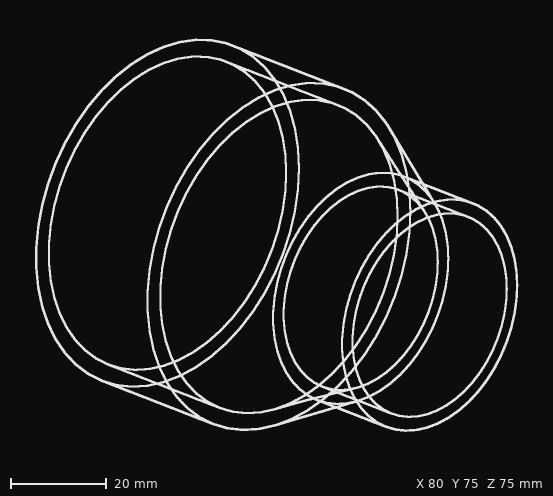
import cadquery as cq

total_length = 80.0
wide_length = 34.0
narrow_length = 21.0

wide_outer_diameter = 75.0
wide_bore_diameter = 67.8
narrow_outer_diameter = 50.0
narrow_bore_diameter = 44.0

cone_end = total_length - narrow_length


def reducer_body(wide_diameter, narrow_diameter):
    """Solid of revolution: wide cylinder, cone, narrow cylinder."""
    wide_radius = wide_diameter / 2
    narrow_radius = narrow_diameter / 2
    return (
        cq.Workplane("XY")
        .moveTo(0, 0)
        .lineTo(0, wide_radius)
        .lineTo(wide_length, wide_radius)
        .lineTo(cone_end, narrow_radius)
        .lineTo(total_length, narrow_radius)
        .lineTo(total_length, 0)
        .close()
        .revolve(360, (0, 0, 0), (1, 0, 0))
    )


outer_body = reducer_body(wide_outer_diameter, narrow_outer_diameter)
bore = reducer_body(wide_bore_diameter, narrow_bore_diameter)

result = outer_body.cut(bore)